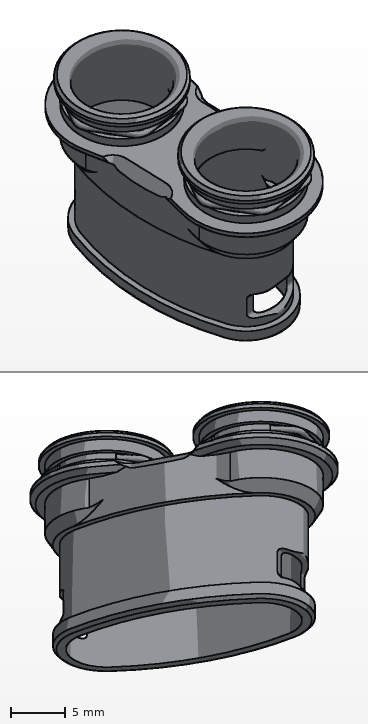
import cadquery as cq
import math

tube_offset = 7.75
tube_signs = (-1, 1)
neck_radius = 5.72
bore_radius = 4.75
rounding_radius = 1.0

foot_height = 1.5
shoulder_bottom = 10.67
shoulder_cone_top = 11.85
flange_bottom = 14.82
flange_thickness = 0.98
flange_top = flange_bottom + flange_thickness
groove_bottom = 16.72
groove_top = 17.6
collar_bottom = 18.77
total_height = 19.5

collar_radius = 6.3
collar_chamfer_width = 0.3
collar_chamfer_height = 0.35
groove_floor_radius = 5.25

wire_radius = 0.33
wire_apothem = 5.2
wire_bend_radius = 1.25
wire_end_y = 4.4

flange_radius = 7.1
flange_chamfer = 0.5
flange_tangent_inset = 1.55

notch_half_length = 2.45
notch_end_y = 7.03
notch_end_radius = 1.85

body_half_depth = 5.63
body_end_radius = 4.35
foot_overhang = 0.62
foot_chamfer = 0.33
wall = 0.6
web_half_length = 7.1
web_half_depth = 5.7

shoulder_small_radius = body_end_radius + foot_overhang
shoulder_slope = (neck_radius - shoulder_small_radius) / (shoulder_cone_top - shoulder_bottom)

window_inner_x = 10.73
window_bottom = 2.52
window_height = 3.0
window_rounding = 0.5


def body_outline(offset):
    """Closed lens-like outline of the body, moved outward by offset."""
    end_radius = body_end_radius + offset
    half_depth = body_half_depth + offset
    side_minus_end = (tube_offset**2 + (half_depth - end_radius)**2) / (2 * (half_depth - end_radius))
    tangent_x = tube_offset + end_radius * tube_offset / side_minus_end
    side_centre_y = half_depth - end_radius - side_minus_end
    tangent_y = -end_radius * side_centre_y / side_minus_end
    end_x = tube_offset + end_radius
    return (
        cq.Workplane("XY")
        .moveTo(-tangent_x, tangent_y)
        .threePointArc((0, half_depth), (tangent_x, tangent_y))
        .threePointArc((end_x, 0), (tangent_x, -tangent_y))
        .threePointArc((0, -half_depth), (-tangent_x, -tangent_y))
        .threePointArc((-end_x, 0), (-tangent_x, tangent_y))
        .close()
    )


def prism(offset, bottom, top):
    return body_outline(offset).extrude(top - bottom).translate((0, 0, bottom))


def revolved(points, sign):
    """Solid of revolution about one tube axis from (radius, height) points, seam facing x = 0."""
    seam_side = -sign
    profile = cq.Workplane("XZ").polyline([(seam_side * radius, z) for radius, z in points]).close()
    return profile.revolve(360, (0, 0), (0, 1)).translate((sign * tube_offset, 0, 0))


def make_lower_body():
    foot = prism(foot_overhang, 0, foot_height).faces("<Z").chamfer(foot_chamfer)
    body = prism(0, 0, flange_bottom)
    shield = prism(foot_overhang, shoulder_bottom, flange_top)
    return foot.union(body).union(shield)


def make_shoulder(sign):
    """Round housing with a flat-sided web towards the middle, tapered at its lower end."""
    height = flange_top - shoulder_bottom
    base = cq.Workplane("XY", origin=(0, 0, shoulder_bottom))
    housing = base.center(sign * tube_offset, 0).circle(neck_radius).extrude(height)
    web_base = base.center(sign * web_half_length / 2, 0)
    web = web_base.rect(web_half_length, 2 * web_half_depth).extrude(height)
    envelope = revolved(
        [
            (0, shoulder_bottom),
            (shoulder_small_radius, shoulder_bottom),
            (shoulder_small_radius + shoulder_slope * height, flange_top),
            (0, flange_top),
        ],
        sign,
    )
    return housing.union(web).intersect(envelope)


def make_flange():
    """Two discs joined by straight tangent sides that meet at the middle."""
    tangent_y = math.sqrt(flange_radius**2 - flange_tangent_inset**2)
    tangent_x = tube_offset - flange_tangent_inset
    waist_y = tangent_y - tangent_x * flange_tangent_inset / tangent_y
    end_x = tube_offset + flange_radius
    return (
        cq.Workplane("XY", origin=(0, 0, flange_bottom))
        .moveTo(-tangent_x, tangent_y)
        .lineTo(0, waist_y)
        .lineTo(tangent_x, tangent_y)
        .threePointArc((end_x, 0), (tangent_x, -tangent_y))
        .lineTo(0, -waist_y)
        .lineTo(-tangent_x, -tangent_y)
        .threePointArc((-end_x, 0), (-tangent_x, tangent_y))
        .close()
        .extrude(flange_thickness)
        .faces("<Z")
        .chamfer(flange_chamfer)
    )


def make_notch(side):
    """Cutter for one flange notch: a straight 45 degree groove between two cones."""
    tip_z = flange_top - notch_end_radius
    centre_y = side * notch_end_y
    groove = (
        cq.Workplane("YZ", origin=(-notch_half_length, 0, 0))
        .polyline([
            (centre_y - notch_end_radius, flange_top),
            (centre_y + notch_end_radius, flange_top),
            (centre_y, tip_z),
        ])
        .close()
        .extrude(2 * notch_half_length)
    )
    for end in (-1, 1):
        cone = cq.Solid.makeCone(
            0, notch_end_radius, notch_end_radius,
            pnt=cq.Vector(end * notch_half_length, centre_y, tip_z),
        )
        groove = groove.union(cq.Workplane(cone))
    return groove


def make_neck(sign):
    return revolved(
        [
            (0, flange_bottom),
            (neck_radius, flange_bottom),
            (neck_radius, groove_bottom),
            (groove_floor_radius, groove_bottom),
            (groove_floor_radius, groove_top),
            (neck_radius, groove_top),
            (neck_radius, collar_bottom),
            (collar_radius, collar_bottom),
            (collar_radius, total_height - collar_chamfer_height),
            (collar_radius - collar_chamfer_width, total_height),
            (0, total_height),
        ],
        sign,
    )


def make_wire(sign):
    """Retaining wire bent round the corners of a hexagon, open towards +Y."""
    half_turn = 30
    half_turn_radians = math.radians(half_turn)
    corner_distance = wire_apothem / math.cos(half_turn_radians)
    bend_centre_distance = (wire_apothem - wire_bend_radius) / math.cos(half_turn_radians)

    def bend_point(corner_angle, turn):
        corner = math.radians(corner_angle)
        direction = math.radians(corner_angle + turn)
        return (
            bend_centre_distance * math.cos(corner) + wire_bend_radius * math.cos(direction),
            bend_centre_distance * math.sin(corner) + wire_bend_radius * math.sin(direction),
        )

    end_x = (corner_distance - wire_end_y) / math.tan(half_turn_radians)
    path = cq.Workplane("XY").moveTo(-end_x, wire_end_y)
    for corner_angle in (150, 210, 270, 330, 390):
        path = path.lineTo(*bend_point(corner_angle, -half_turn))
        path = path.threePointArc(bend_point(corner_angle, 0), bend_point(corner_angle, half_turn))
    path = path.lineTo(end_x, wire_end_y)
    first_leg = (-math.cos(half_turn_radians), -math.sin(half_turn_radians), 0)
    section = cq.Workplane(cq.Plane(origin=(-end_x, wire_end_y, 0), normal=first_leg))
    wire = section.circle(wire_radius).sweep(path)
    return wire.translate((sign * tube_offset, 0, (groove_bottom + groove_top) / 2))


def make_bore(sign):
    """Tube bore, tapering at its lower end to the width of the body cavity."""
    cavity_end_radius = body_end_radius - wall
    taper_bottom = shoulder_cone_top - (bore_radius - cavity_end_radius) / shoulder_slope
    return revolved(
        [
            (0, taper_bottom),
            (cavity_end_radius, taper_bottom),
            (bore_radius, shoulder_cone_top),
            (bore_radius, total_height),
            (0, total_height),
        ],
        sign,
    )


def make_mouth_rounding(sign):
    """Cutter that rounds the bore over into the top face."""
    start_z = total_height - rounding_radius
    outer_radius = bore_radius + rounding_radius
    diagonal = rounding_radius * math.sqrt(0.5)
    return (
        cq.Workplane("XZ")
        .moveTo(0, start_z)
        .lineTo(bore_radius, start_z)
        .threePointArc((outer_radius - diagonal, start_z + diagonal), (outer_radius, total_height))
        .lineTo(0, total_height)
        .close()
        .revolve(360, (0, 0), (0, 1))
        .translate((sign * tube_offset, 0, 0))
    )


def make_interior():
    """Body cavity and both bores, with rounded edges where they open into each other."""
    cavity = prism(-wall, 0, flange_bottom)
    opening = cq.selectors.BoxSelector(
        (-tube_offset, -bore_radius, shoulder_cone_top + 0.3),
        (bore_radius - tube_offset, bore_radius, flange_bottom + 0.3),
    )
    left_side = cavity.union(make_bore(-1)).edges(opening).fillet(rounding_radius)
    return left_side.union(left_side.mirror("YZ"))


def make_window(sign):
    """Cutter for an end window: rounded inner corners, edges flared at the outer wall."""
    outer_x = tube_offset + body_end_radius
    slot = (
        cq.Workplane("XY")
        .box(2 * window_rounding + outer_x - window_inner_x, 2 * body_end_radius, window_height,
             centered=(False, True, False))
        .edges("<X and |Y")
        .fillet(window_rounding)
        .translate((window_inner_x, 0, window_bottom))
    )
    flare = (
        cq.Workplane("XY", origin=(outer_x - window_rounding, 0, window_bottom - window_rounding))
        .box(2 * window_rounding, 2 * body_end_radius, window_height + 2 * window_rounding,
             centered=(False, True, False))
    )
    for z in (window_bottom - window_rounding, window_bottom + window_height + window_rounding):
        lip = (
            cq.Workplane("XZ", origin=(outer_x - window_rounding, 0, z))
            .circle(window_rounding)
            .extrude(body_end_radius, both=True)
        )
        flare = flare.cut(lip)
    window = slot.union(flare)
    return window if sign > 0 else window.mirror("YZ")


result = make_lower_body().union(make_flange())
for sign in tube_signs:
    result = result.union(make_shoulder(sign)).union(make_neck(sign))
for side in (-1, 1):
    result = result.cut(make_notch(side))
result = result.cut(make_interior())
for sign in tube_signs:
    result = result.cut(make_mouth_rounding(sign))
    result = result.cut(make_window(sign))
    result = result.union(make_wire(sign))